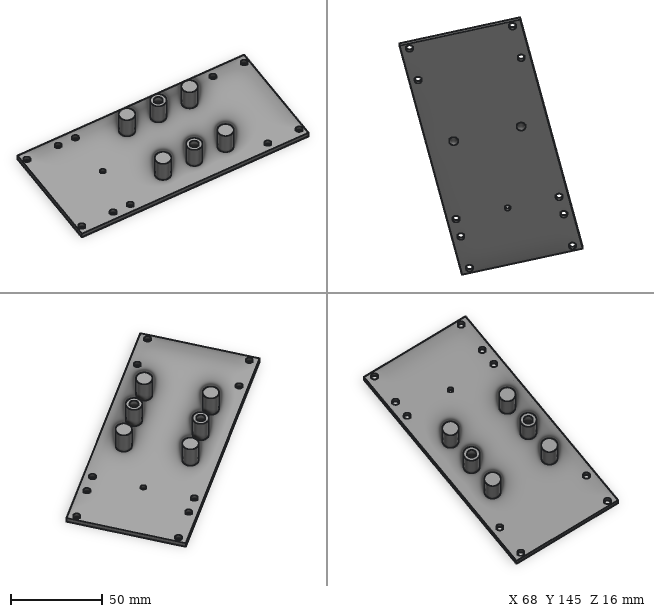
import cadquery as cq

plate_width = 68.0
plate_length = 145.0
plate_thickness = 3.0
total_height = 16.0

mount_hole_diameter = 4.0
mount_hole_x = 29.0
end_margin = 3.0
end_pair_spacing = 20.0
extra_pair_spacing = 11.0
end_hole_y = plate_length / 2 - end_margin
rear_inner_hole_y = end_hole_y - end_pair_spacing
front_inner_hole_y = -rear_inner_hole_y
front_extra_hole_y = front_inner_hole_y + extra_pair_spacing
mount_hole_rows = [end_hole_y, rear_inner_hole_y, front_extra_hole_y, front_inner_hole_y, -end_hole_y]

centre_hole_diameter = 3.2

post_diameter = 9.0
post_bore_diameter = 5.0
post_x = 19.0
post_pitch = 20.0
middle_post_y = 8.5
post_rows = [middle_post_y + step * post_pitch for step in (-1, 0, 1)]


def mirrored_points(x, rows):
    """Points at +x and -x for every row."""
    return [(side * x, y) for y in rows for side in (-1, 1)]


def cylinders(points, diameter, height):
    """Upright cylinders standing on Z = 0."""
    return cq.Workplane("XY").pushPoints(points).circle(diameter / 2).extrude(height)


def make_plate():
    plate = cq.Workplane("XY").box(
        plate_width, plate_length, plate_thickness, centered=(True, True, False)
    )
    mount_points = mirrored_points(mount_hole_x, mount_hole_rows)
    plate = plate.cut(cylinders(mount_points, mount_hole_diameter, plate_thickness))
    centre_point = [(0, front_extra_hole_y)]
    return plate.cut(cylinders(centre_point, centre_hole_diameter, plate_thickness))


def add_posts(body):
    """Fuse the posts to the plate and bore the middle pair right through."""
    body = body.union(cylinders(mirrored_points(post_x, post_rows), post_diameter, total_height))
    bore_points = mirrored_points(post_x, [middle_post_y])
    return body.cut(cylinders(bore_points, post_bore_diameter, total_height))


result = add_posts(make_plate())